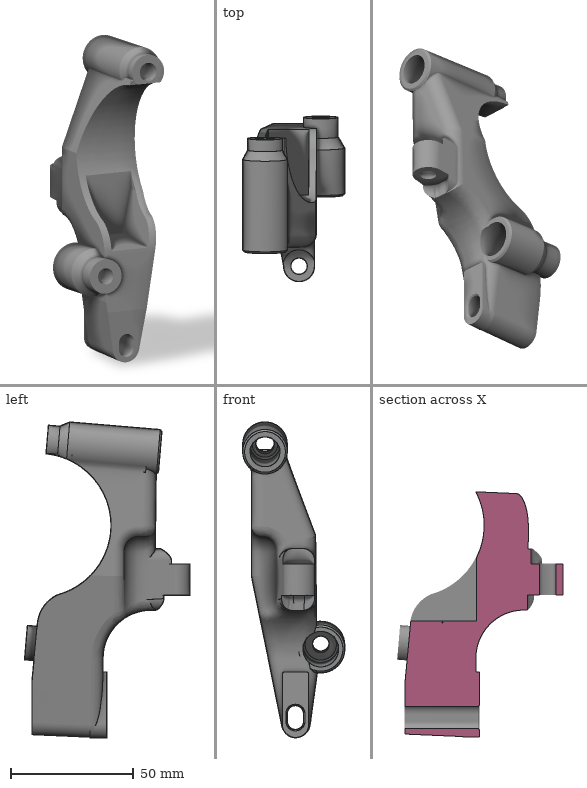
import math

import cadquery as cq


REACH = 60.0
SELECT_MARGIN = 0.5

LEFT_X = -5.55
LEFT_BEND_Z = 66.2
SHOULDER_X, SHOULDER_Z = 20.75, 83.0
RIGHT_X, RIGHT_BEND_Z = 21.4, 26.0
CROWN_RIGHT_X, CROWN_Z = 7.4, 118.0
TOE_X = 12.66
TOE_LEFT = (6.82, 4.75)
TOE_RIGHT = (18.55, 5.4)
DRAFT_ANGLE = 2.5
UPPER_EDGE_ROUND = 5.3
LOWER_EDGE_ROUND = 4.8

FRONT_TOP_Y, FRONT_Y = 13.7, 14.5
LOWER_FRONT_Y = 35.6
THROAT_RADIUS = 19.5
THROAT_TOP_Z = 52.2
REAR_Y, REAR_BEND_Z = 64.8, 23.0
CORNER_START = (62.6, 46.5)
CORNER_MID = (59.9, 53.9)
CORNER_END = (51.2, 59.6)
CROWN_REAR_Y = 58.9
SADDLE_Y, SADDLE_Z, SADDLE_RADIUS = 61.8, 87.0, 29.4

LUG_X, LUG_RADIUS, LUG_HOLE_RADIUS = 13.95, 6.35, 3.3
UPPER_RELIEF_RADIUS, LOWER_RELIEF_RADIUS = 6.7, 8.4
LUG_BOTTOM_Z, LUG_TOP_Z = 58.3, 71.2
NECK_ROOT_X, NECK_ROOT_Y = 3.7, 27.0
NECK_BACK_Y = 34.0
NECK_TOP_Z = 77.5
NECK_ROUND = 4.8

RECESS_BOTTOM_Z, RECESS_TOP_Z = 40.0, 82.5
RECESS_ROUND = 6.0
RECESS_OVERRUN = 10.0
RECESS_RIM_ROUND = 4.0
RIM_DEPTH = 1.5

WALL = 3.1
POCKET_FRONT_Y, POCKET_FLOOR_Z = 35.5, 48.0

PAD_FRONT_Y, PAD_BACK_Y, PAD_TOP_Z = 34.1, 41.0, 27.0
PAD_LEFT_X, PAD_RIGHT_X = 7.1, 17.9
PAD_CORNER_ROUND = 1.0
SLOT_X, SLOT_Z, SLOT_WIDTH, SLOT_LENGTH = 12.45, 8.3, 6.6, 9.7
SLOT_CHAMFER = 0.6

BOSS_TILT = 4.8
NOSE_RADIUS = 7.1
BOSS_CHAMFER = 0.8
UPPER_X, UPPER_Y, UPPER_Z = 0.0, 12.2, 117.07
UPPER_RADIUS, UPPER_LENGTH = 9.15, 46.6
UPPER_SHOULDER, UPPER_TAPER = 38.0, 3.8
UPPER_BORE_RADIUS, UPPER_BORE_DEPTH, UPPER_HOLE_RADIUS = 6.1, 35.0, 3.8
LOWER_X, LOWER_Y, LOWER_Z = 22.85, 35.35, 36.3
LOWER_RADIUS, LOWER_LENGTH = 9.85, 32.0
LOWER_SHOULDER, LOWER_TAPER = 19.5, 4.5
LOWER_BORE_RADIUS, LOWER_BORE_DEPTH, LOWER_HOLE_RADIUS = 7.3, 22.0, 3.4
BORE_CHAMFER = 0.9
BORE_LEAD_IN = 8.0
BOSS_BLEND = 3.5


def tilted_plane(x, y, z, angle):
    """Plane facing the front whose rearward normal rises by the given angle."""
    lean = math.radians(angle)
    return cq.Plane(
        origin=(x, y, z),
        xDir=(1, 0, 0),
        normal=(0, -math.cos(lean), -math.sin(lean)),
    )


def make_outline():
    """Closed body outline with a round toe, drawn on the drafted plane."""
    plane = tilted_plane(0, LOWER_FRONT_Y, 0, DRAFT_ANGLE)
    return (
        cq.Workplane(plane)
        .moveTo(*TOE_LEFT)
        .threePointArc((TOE_X, 0), TOE_RIGHT)
        .lineTo(RIGHT_X, RIGHT_BEND_Z)
        .lineTo(SHOULDER_X, SHOULDER_Z)
        .lineTo(CROWN_RIGHT_X, CROWN_Z)
        .lineTo(LEFT_X, CROWN_Z)
        .lineTo(LEFT_X, LEFT_BEND_Z)
        .close()
    )


def make_saddle():
    """Round cutter along X that hollows the rear edge."""
    return cq.Workplane("YZ").center(SADDLE_Y, SADDLE_Z).circle(SADDLE_RADIUS).extrude(REACH, both=True)


def make_body():
    """Web: the outline cut to its side profile, with its front side edges rounded."""
    throat_y = LOWER_FRONT_Y - THROAT_RADIUS
    throat_z = THROAT_TOP_Z - THROAT_RADIUS
    throat_mid = THROAT_RADIUS * math.sqrt(0.5)
    profile = (
        cq.Workplane("YZ")
        .moveTo(FRONT_TOP_Y, CROWN_Z)
        .lineTo(FRONT_Y, THROAT_TOP_Z)
        .lineTo(throat_y, THROAT_TOP_Z)
        .threePointArc((throat_y + throat_mid, throat_z + throat_mid), (LOWER_FRONT_Y, throat_z))
        .lineTo(LOWER_FRONT_Y, -REACH)
        .lineTo(REAR_Y, -REACH)
        .lineTo(REAR_Y, REAR_BEND_Z)
        .lineTo(*CORNER_START)
        .threePointArc(CORNER_MID, CORNER_END)
        .lineTo(CROWN_REAR_Y, CROWN_Z)
        .close()
        .extrude(REACH, both=True)
    )
    body = make_outline().extrude(REACH, both=True).intersect(profile)
    upper_rounded = round_front(body, 0, FRONT_Y, UPPER_EDGE_ROUND)
    lower_rounded = round_front(body, FRONT_Y + SELECT_MARGIN, LOWER_FRONT_Y, LOWER_EDGE_ROUND)
    return upper_rounded.intersect(lower_rounded)


def round_front(body, nearest_y, farthest_y, radius):
    """Round the rising side edges of the front between two depths, above the toe."""

    def is_side_edge(edge):
        box = edge.BoundingBox()
        is_rising = box.zlen > SELECT_MARGIN and box.zmin > TOE_LEFT[1] - SELECT_MARGIN
        return is_rising and box.ymin > nearest_y and box.ymax < farthest_y + SELECT_MARGIN

    return body.edges().filter(is_side_edge).fillet(radius)


def make_recess():
    """Cutter that sets the body back on the left of the neck."""
    outer_x = LEFT_X - RECESS_OVERRUN
    inner_edges = cq.selectors.BoxSelector(
        (outer_x, LUG_RADIUS + SELECT_MARGIN, RECESS_BOTTOM_Z + SELECT_MARGIN),
        (LUG_X, REACH, CROWN_Z),
    )
    return (
        cq.Workplane("XY", origin=(0, 0, RECESS_BOTTOM_Z))
        .moveTo(outer_x, 0)
        .lineTo(LUG_X - LUG_RADIUS, 0)
        .lineTo(LUG_X - LUG_RADIUS, LUG_RADIUS)
        .lineTo(NECK_ROOT_X, NECK_ROOT_Y)
        .lineTo(outer_x, NECK_ROOT_Y)
        .close()
        .extrude(RECESS_TOP_Z - RECESS_BOTTOM_Z)
        .edges(inner_edges)
        .fillet(RECESS_ROUND)
    )


def round_recess_rim(body):
    """Round the rim where the recess breaks through the left face."""
    rim = cq.selectors.BoxSelector(
        (LEFT_X - SELECT_MARGIN, FRONT_Y + UPPER_EDGE_ROUND - SELECT_MARGIN, THROAT_TOP_Z),
        (LEFT_X + RIM_DEPTH, NECK_ROOT_Y + SELECT_MARGIN, RECESS_TOP_Z + SELECT_MARGIN),
    )
    return body.edges(rim).edges("not |X").fillet(RECESS_RIM_ROUND)


def lug_cylinder(radius, bottom_z, top_z):
    """Upright cylinder on the lug axis."""
    base = cq.Workplane("XY", origin=(LUG_X, LUG_RADIUS, bottom_z))
    return base.circle(radius).extrude(top_z - bottom_z)


def make_neck():
    """Neck with rounded flanks and the lug, with round reliefs above and below the lug."""
    plan = [
        (LUG_X - LUG_RADIUS, LUG_RADIUS),
        (NECK_ROOT_X, NECK_ROOT_Y),
        (NECK_ROOT_X, NECK_BACK_Y),
        (LUG_X + LUG_RADIUS, NECK_BACK_Y),
        (LUG_X + LUG_RADIUS, LUG_RADIUS),
    ]
    neck = (
        cq.Workplane("XY", origin=(0, 0, THROAT_TOP_Z))
        .polyline(plan)
        .close()
        .extrude(NECK_TOP_Z - THROAT_TOP_Z)
        .edges("<Z or >Z")
        .edges("not |X")
        .fillet(NECK_ROUND)
    )
    upper_relief = lug_cylinder(UPPER_RELIEF_RADIUS, LUG_TOP_Z, NECK_TOP_Z)
    lower_relief = lug_cylinder(LOWER_RELIEF_RADIUS, THROAT_TOP_Z, LUG_BOTTOM_Z)
    reliefs = upper_relief.union(lower_relief)
    lug = lug_cylinder(LUG_RADIUS, LUG_BOTTOM_Z, LUG_TOP_Z)
    root_base = cq.Workplane("XY", origin=(0, 0, LUG_BOTTOM_Z))
    lug_root = root_base.polyline(plan).close().extrude(LUG_TOP_Z - LUG_BOTTOM_Z)
    return neck.cut(reliefs).union(lug).union(lug_root)


def make_pocket():
    """Cutter for the pocket that opens to the rear and into the saddle."""
    room = (
        cq.Workplane("XY", origin=(0, POCKET_FRONT_Y, POCKET_FLOOR_Z))
        .rect(2 * REACH, REACH, centered=(True, False))
        .extrude(SADDLE_Z - POCKET_FLOOR_Z)
    )
    inner = make_outline().offset2D(-WALL).extrude(REACH, both=True)
    return inner.intersect(room)


def make_pad():
    """Flat-faced pad on the toe, rounded like the toe."""
    width = PAD_RIGHT_X - PAD_LEFT_X
    pad_x = (PAD_LEFT_X + PAD_RIGHT_X) / 2
    pad_radius = width / 2
    plane = cq.Plane(origin=(pad_x, PAD_FRONT_Y, 0), xDir=(1, 0, 0), normal=(0, -1, 0))
    return (
        cq.Workplane(plane)
        .moveTo(-pad_radius, pad_radius)
        .threePointArc((0, 0), (pad_radius, pad_radius))
        .lineTo(pad_radius, PAD_TOP_Z)
        .lineTo(-pad_radius, PAD_TOP_Z)
        .close()
        .extrude(PAD_FRONT_Y - PAD_BACK_Y)
        .edges("|Y and >Z")
        .fillet(PAD_CORNER_ROUND)
    )


def make_slot():
    """Upright slot through the toe, chamfered at the front."""
    plane = cq.Plane(origin=(SLOT_X, PAD_FRONT_Y, SLOT_Z), xDir=(1, 0, 0), normal=(0, -1, 0))
    slot = cq.Workplane(plane).slot2D(SLOT_LENGTH, SLOT_WIDTH, 90).extrude(-REACH)
    mouth = (
        cq.Workplane(plane)
        .slot2D(SLOT_LENGTH + 2 * SLOT_CHAMFER, SLOT_WIDTH + 2 * SLOT_CHAMFER, 90)
        .extrude(-SLOT_CHAMFER, taper=45)
    )
    return slot.union(mouth)


def turned(plane, points):
    """Solid of revolution about the plane's normal from (radius, depth) points."""
    axis_plane = cq.Plane(origin=plane.origin, xDir=plane.xDir, normal=plane.yDir)
    return (
        cq.Workplane(axis_plane)
        .polyline([(0, points[0][1])] + points + [(0, points[-1][1])])
        .close()
        .revolve(360, (0, 0, 0), (0, 1, 0))
    )


def make_boss(plane, radius, length, shoulder, taper):
    """Round boss that tapers behind its shoulder to the nose radius."""
    return turned(
        plane,
        [
            (radius - BOSS_CHAMFER, 0),
            (radius, BOSS_CHAMFER),
            (radius, shoulder),
            (NOSE_RADIUS, shoulder + taper),
            (NOSE_RADIUS, length),
        ],
    )


def make_boss_blend(plane):
    """Concave blend between the upper boss and the left face of the web."""
    offset_x = LEFT_X - BOSS_BLEND
    reach = UPPER_RADIUS + BOSS_BLEND
    center_z = -math.sqrt(reach**2 - offset_x**2)
    boss_touch = (offset_x * UPPER_RADIUS / reach, center_z * UPPER_RADIUS / reach)
    face_touch = (LEFT_X, center_z)
    toward_corner = math.atan2(-center_z, -offset_x) / 2
    arc_mid = (
        offset_x + BOSS_BLEND * math.cos(toward_corner),
        center_z + BOSS_BLEND * math.sin(toward_corner),
    )
    return (
        cq.Workplane(plane)
        .workplane(offset=-UPPER_EDGE_ROUND)
        .moveTo(*face_touch)
        .threePointArc(arc_mid, boss_touch)
        .lineTo(0, 0)
        .lineTo(0, center_z)
        .close()
        .extrude(UPPER_EDGE_ROUND - UPPER_SHOULDER)
    )


def make_bore(plane, bore_radius, bore_depth, hole_radius, length):
    """Counterbore, cleared ahead of the boss face, with a chamfered floor and a through hole."""
    return turned(
        plane,
        [
            (bore_radius, -BORE_LEAD_IN),
            (bore_radius, bore_depth),
            (bore_radius - BORE_CHAMFER, bore_depth + BORE_CHAMFER),
            (hole_radius, bore_depth + BORE_CHAMFER),
            (hole_radius, length),
        ],
    )


upper_plane = tilted_plane(UPPER_X, UPPER_Y, UPPER_Z, BOSS_TILT)
lower_plane = tilted_plane(LOWER_X, LOWER_Y, LOWER_Z, BOSS_TILT)

web = round_recess_rim(make_body().cut(make_recess()))

result = (
    web
    .cut(make_pocket())
    .union(make_neck())
    .union(make_pad())
    .union(make_boss(upper_plane, UPPER_RADIUS, UPPER_LENGTH, UPPER_SHOULDER, UPPER_TAPER))
    .union(make_boss(lower_plane, LOWER_RADIUS, LOWER_LENGTH, LOWER_SHOULDER, LOWER_TAPER))
    .union(make_boss_blend(upper_plane))
    .cut(make_saddle())
    .cut(lug_cylinder(LUG_HOLE_RADIUS, LUG_BOTTOM_Z, LUG_TOP_Z))
    .cut(make_slot())
    .cut(make_bore(upper_plane, UPPER_BORE_RADIUS, UPPER_BORE_DEPTH, UPPER_HOLE_RADIUS, UPPER_LENGTH))
    .cut(make_bore(lower_plane, LOWER_BORE_RADIUS, LOWER_BORE_DEPTH, LOWER_HOLE_RADIUS, LOWER_LENGTH))
)